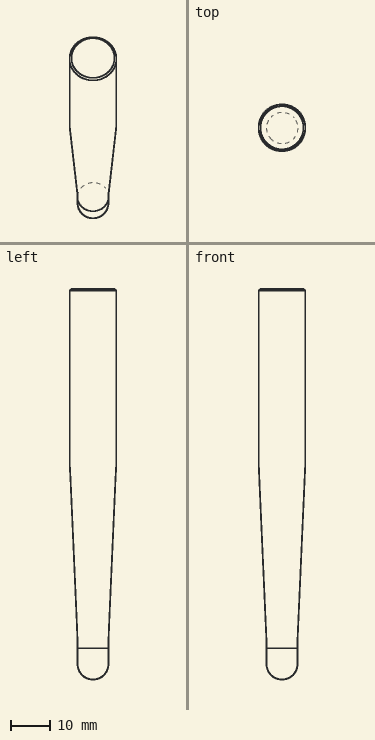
import cadquery as cq

total_length = 100.0
shank_diameter = 12.0
tip_diameter = 8.0
tip_length = 8.0
neck_length = 2.0
taper_length = 45.2
top_chamfer = 0.5

shank_radius = shank_diameter / 2
tip_radius = tip_diameter / 2
neck_top = tip_length + neck_length
taper_top = neck_top + taper_length


def make_holder():
    """Straight neck, tapered body and chamfered cylindrical shank."""
    return (
        cq.Workplane("XZ")
        .moveTo(0, tip_length)
        .lineTo(tip_radius, tip_length)
        .lineTo(tip_radius, neck_top)
        .lineTo(shank_radius, taper_top)
        .lineTo(shank_radius, total_length - top_chamfer)
        .lineTo(shank_radius - top_chamfer, total_length)
        .lineTo(0, total_length)
        .close()
        .revolve(360, (0, 0, 0), (0, 1, 0))
    )


def make_ball_tip():
    """Cylinder with a hemispherical lower end, butted against the neck."""
    sphere_part = tip_radius * 0.5 ** 0.5
    return (
        cq.Workplane("XZ")
        .threePointArc((sphere_part, tip_radius - sphere_part), (tip_radius, tip_radius))
        .lineTo(tip_radius, tip_length)
        .lineTo(0, tip_length)
        .close()
        .revolve(360, (0, 0, 0), (0, 1, 0))
    )


holder = make_holder()
ball_tip = make_ball_tip()

result = cq.Compound.makeCompound([holder.val(), ball_tip.val()])